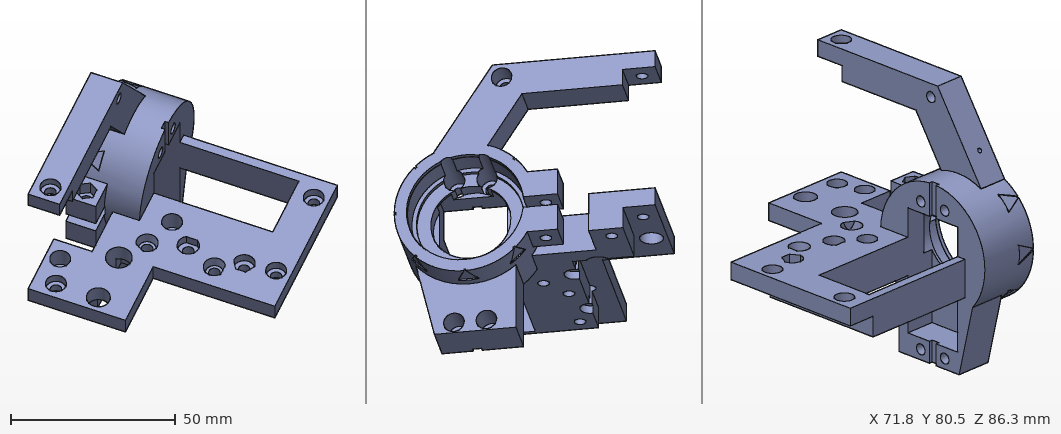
import cadquery as cq
import math


OVERALL_HEIGHT = 86.3
OVERALL_DEPTH = 80.5

RING_RADIUS = 21.8
RING_LENGTH = 21.4
SEAT_RADIUS = 17.95
SEAT_DEPTH = 8.6
LIP_DEPTH = 1.4
LIP_RELIEF = 0.1
STEP_RADIUS = 16.6
STEP_DEPTH = 9.8
BORE_RADIUS = 12.3
BORE_DEPTH = 14.3

LUG_END_Y = -28.6
LUG_HALF_HEIGHT = 10.35
SLIT_WIDTH = 3.6
SLIT_DEPTH = 10.0
SLIT_INNER_Y = -16.4
LUG_SCREW_X = STEP_DEPTH / 2
LUG_SCREW_Y = -24.1
NUT_ACROSS_CORNERS = 6.4
NUT_POCKET_DEPTH = 4.75
NUT_ANGLE = 30

SERVO_FRONT_X = 10.8
SERVO_WIDTH = 20.9
SERVO_TOP_Z = 10.7
SERVO_SCREW_TOP_Z = 14.5
SERVO_SCREW_PITCH_Z = 49.1
SERVO_SCREW_PITCH_Y = 10.0
SERVO_SCREW_FLOOR_X = 17.3
SERVO_CENTER_Z = SERVO_SCREW_TOP_Z - SERVO_SCREW_PITCH_Z / 2
SERVO_HEIGHT = 2 * (SERVO_TOP_Z - SERVO_CENTER_Z)
KEY_WIDTH = 2.8
KEY_DEPTH = 1.2

FOOT_FRONT_X = 8.6
FOOT_BOTTOM_Z = -38.15
FOOT_NEAR_Y = -14.15
FOOT_FAR_Y = 11.05
FOOT_SHOULDER = (16.7, -13.9)

ARM_THICKNESS = 10.35
ARM_TOP_Z = FOOT_BOTTOM_Z + OVERALL_HEIGHT
ARM_UNDERSIDE_Z = 37.4
ARM_TIP_UNDERSIDE_Z = 42.6
ARM_END_Y = RING_RADIUS - OVERALL_DEPTH
ARM_TIP_Y = -48.6
ARM_OUTER_KNEE_Y = -8.5
ARM_INNER_KNEE_Y = -17.6
ARM_OUTER_ROOT = (9.75, 19.6)
ARM_INNER_ROOT = (-7.1, 20.7)
ARM_SIDE_SCREW = (-11.3, 43.7)
ARM_SIDE_SCREW_FLOOR_X = 6.9
ARM_TIP_SCREW = (5.3, -53.7)
ARM_TIP_HEAD_DEPTH = 2.6
PIN_DIAMETER = 1.5
PIN_X = 4.8
PIN_Y = 3.9
PIN_DEPTH = 3.45

PLATE_TOP_Z = 0.95
PLATE_BOTTOM_Z = -4.9
BLOCK_BOTTOM_Z = -11.8
PLATE_END_X = 71.8
PLATE_FAR_Y = 13.5
PLATE_STEP_X = 31.9
PLATE_STEP_Y = -36.5
RELIEF_X = 12.6
RELIEF_END_Y = -38.15
BLOCK_END_X = 61.8
BLOCK_FACE_Y = -29.8
BLOCK_STEP_X = 18.6
BLOCK_END_Y = -48.8
WINDOW_END_X = 60.4

SCREW_DIAMETER = 3.5
HEAD_DIAMETER = 6.3
HEAD_DEPTH = 3.0
DEEP_HEAD_DEPTH = 6.9
UNDERSIDE_HEAD_DEPTH = 2.6
PLATE_SCREWS = [(67.0, 6.4), (67.0, -23.7), (7.1, -53.7)]
DEEP_PLATE_SCREWS = [(30.7, -18.55), (4.7, -44.45)]
UNDERSIDE_SCREWS = [(26.75, -28.8), (49.1, -29.5)]
LARGE_HOLES = [((21.0, -37.3), 8.0), ((21.0, -53.7), 7.25)]

FLAT_POCKET_RADIUS = 3.4
FLAT_POCKET_OFFSET = 2.85
TAPERED_FLOOR_RADIUS = 2.8
FLAT_POCKETS = [
    ((38.7, -24.9), FLAT_POCKET_RADIUS, [90]),
    ((57.0, -24.9), FLAT_POCKET_RADIUS, [210, 270, 330]),
    (UNDERSIDE_SCREWS[0], TAPERED_FLOOR_RADIUS, [240]),
    (UNDERSIDE_SCREWS[1], TAPERED_FLOOR_RADIUS, [0]),
]

MARK_LENGTH = 6.2
MARK_OVERRUN = 0.5
MARK_HALF_WIDTH = 3.2
MARK_DEPTH = 0.5
MARK_ANGLES = [45, 135, 180, 225, 270, 315]


def span_box(x, y, z):
    """Box given by its (low, high) limits along each axis."""
    size = [high - low for low, high in (x, y, z)]
    return cq.Workplane("XY").box(*size, centered=False).translate((x[0], y[0], z[0]))


def cylinder_x(radius, start, end, y=0.0, z=0.0):
    return cq.Workplane("YZ", origin=(start, y, z)).circle(radius).extrude(end - start)


def cylinder_z(radius, bottom, top, center):
    return cq.Workplane("XY", origin=(*center, bottom)).circle(radius).extrude(top - bottom)


def profile_x(points, start, end):
    """Prism along X from a (Y, Z) outline."""
    return cq.Workplane("YZ", origin=(start, 0, 0)).polyline(points).close().extrude(end - start)


def profile_z(points, bottom, top):
    """Prism along Z from an (X, Y) outline."""
    return cq.Workplane("XY", origin=(0, 0, bottom)).polyline(points).close().extrude(top - bottom)


def make_arm():
    outline = [
        ARM_OUTER_ROOT,
        (ARM_OUTER_KNEE_Y, ARM_TOP_Z),
        (ARM_END_Y, ARM_TOP_Z),
        (ARM_END_Y, ARM_TIP_UNDERSIDE_Z),
        (ARM_TIP_Y, ARM_TIP_UNDERSIDE_Z),
        (ARM_TIP_Y, ARM_UNDERSIDE_Z),
        (ARM_INNER_KNEE_Y, ARM_UNDERSIDE_Z),
        ARM_INNER_ROOT,
    ]
    return profile_x(outline, 0, ARM_THICKNESS)


def make_foot():
    outline = [
        FOOT_SHOULDER,
        (FOOT_FAR_Y, FOOT_BOTTOM_Z),
        (FOOT_NEAR_Y, FOOT_BOTTOM_Z),
        (FOOT_NEAR_Y, FOOT_SHOULDER[1]),
    ]
    return profile_x(outline, FOOT_FRONT_X, RING_LENGTH)


def make_plate():
    plate = profile_z(
        [
            (RELIEF_X, PLATE_FAR_Y),
            (PLATE_END_X, PLATE_FAR_Y),
            (PLATE_END_X, PLATE_STEP_Y),
            (PLATE_STEP_X, PLATE_STEP_Y),
            (PLATE_STEP_X, ARM_END_Y),
            (0, ARM_END_Y),
            (0, RELIEF_END_Y),
            (RELIEF_X, RELIEF_END_Y),
        ],
        PLATE_BOTTOM_Z,
        PLATE_TOP_Z,
    )
    block = profile_z(
        [
            (RELIEF_X, PLATE_FAR_Y),
            (BLOCK_END_X, PLATE_FAR_Y),
            (BLOCK_END_X, BLOCK_FACE_Y),
            (BLOCK_STEP_X, BLOCK_FACE_Y),
            (BLOCK_STEP_X, BLOCK_END_Y),
            (0, BLOCK_END_Y),
            (0, RELIEF_END_Y),
            (RELIEF_X, RELIEF_END_Y),
        ],
        BLOCK_BOTTOM_Z,
        PLATE_BOTTOM_Z,
    )
    return plate.union(block)


def cut_ring_interior(body):
    """Stepped bore, servo opening, plate window and rear key slot."""
    half_width = SERVO_WIDTH / 2
    servo_z = (SERVO_TOP_Z - SERVO_HEIGHT, SERVO_TOP_Z)
    servo = span_box((SERVO_FRONT_X, RING_LENGTH), (-half_width, half_width), servo_z)
    window_z = (BLOCK_BOTTOM_Z, PLATE_TOP_Z)
    window = span_box((RING_LENGTH, WINDOW_END_X), (-half_width, half_width), window_z)
    key_x = (RING_LENGTH - KEY_DEPTH, RING_LENGTH)
    key = span_box(key_x, (-KEY_WIDTH / 2, KEY_WIDTH / 2), (FOOT_BOTTOM_Z, RING_RADIUS))
    return (
        body.cut(cylinder_x(SEAT_RADIUS, 0, SEAT_DEPTH))
        .cut(cylinder_x(SEAT_RADIUS + LIP_RELIEF, 0, LIP_DEPTH))
        .cut(cylinder_x(STEP_RADIUS, 0, STEP_DEPTH))
        .cut(cylinder_x(BORE_RADIUS, 0, BORE_DEPTH))
        .cut(servo)
        .cut(window)
        .cut(key)
    )


def cut_clamp(body):
    """Slit between the lugs, with the clamp screw hole and its nut pocket."""
    slit = span_box((0, SLIT_DEPTH), (LUG_END_Y, SLIT_INNER_Y), (-SLIT_WIDTH / 2, SLIT_WIDTH / 2))
    center = (LUG_SCREW_X, LUG_SCREW_Y)
    screw = cylinder_z(SCREW_DIAMETER / 2, -LUG_HALF_HEIGHT, LUG_HALF_HEIGHT, center)
    nut = (
        cq.Workplane("XY", origin=(*center, LUG_HALF_HEIGHT))
        .polygon(6, NUT_ACROSS_CORNERS)
        .extrude(-NUT_POCKET_DEPTH)
        .rotate((*center, 0), (*center, 1), NUT_ANGLE)
    )
    return body.cut(slit).cut(screw).cut(nut)


def cut_screw_x(body, y, z, floor, end):
    """Counterbored hole along X, with its head recess open toward the front."""
    head = cylinder_x(HEAD_DIAMETER / 2, 0, floor, y, z)
    return body.cut(head).cut(cylinder_x(SCREW_DIAMETER / 2, 0, end, y, z))


def cut_servo_screws(body):
    for side in (-1, 1):
        for row in (0, 1):
            y = side * SERVO_SCREW_PITCH_Y / 2
            z = SERVO_SCREW_TOP_Z - row * SERVO_SCREW_PITCH_Z
            body = cut_screw_x(body, y, z, SERVO_SCREW_FLOOR_X, RING_LENGTH)
    return body


def cut_arm_holes(body):
    body = cut_screw_x(body, *ARM_SIDE_SCREW, ARM_SIDE_SCREW_FLOOR_X, ARM_THICKNESS)
    screw = cylinder_z(SCREW_DIAMETER / 2, ARM_UNDERSIDE_Z, ARM_TOP_Z, ARM_TIP_SCREW)
    head = cylinder_z(HEAD_DIAMETER / 2, ARM_TOP_Z - ARM_TIP_HEAD_DEPTH, ARM_TOP_Z, ARM_TIP_SCREW)
    slope = (ARM_TOP_Z - ARM_OUTER_ROOT[1]) / (ARM_OUTER_KNEE_Y - ARM_OUTER_ROOT[0])
    pin_z = ARM_OUTER_ROOT[1] + slope * (PIN_Y - ARM_OUTER_ROOT[0])
    pin_face = cq.Plane(origin=(PIN_X, PIN_Y, pin_z), xDir=(1, 0, 0), normal=(0, -slope, 1))
    pin = cq.Workplane(pin_face).circle(PIN_DIAMETER / 2).extrude(-PIN_DEPTH)
    return body.cut(screw).cut(head).cut(pin)


def flat_sided_pocket(center, floor_radius, flat_angles):
    """Straight or tapered round pocket in the plate's top, trimmed by a flat in each direction."""
    side_taper = math.degrees(math.atan((FLAT_POCKET_RADIUS - floor_radius) / HEAD_DEPTH))
    top = cq.Workplane("XY", origin=(0, 0, PLATE_TOP_Z)).circle(FLAT_POCKET_RADIUS)
    pocket = top.extrude(-HEAD_DEPTH, taper=side_taper)
    far = 2 * FLAT_POCKET_RADIUS
    for angle in flat_angles:
        trim = span_box((FLAT_POCKET_OFFSET, far), (-far, far), (PLATE_BOTTOM_Z, PLATE_TOP_Z))
        pocket = pocket.cut(trim.rotate((0, 0, 0), (0, 0, 1), angle))
    return pocket.translate((*center, 0))


def cut_plate_holes(body):
    pocket_centers = [center for center, _, _ in FLAT_POCKETS]
    for center in PLATE_SCREWS + DEEP_PLATE_SCREWS + pocket_centers:
        body = body.cut(cylinder_z(SCREW_DIAMETER / 2, BLOCK_BOTTOM_Z, PLATE_TOP_Z, center))
    for centers, depth in ((PLATE_SCREWS, HEAD_DEPTH), (DEEP_PLATE_SCREWS, DEEP_HEAD_DEPTH)):
        for center in centers:
            body = body.cut(cylinder_z(HEAD_DIAMETER / 2, PLATE_TOP_Z - depth, PLATE_TOP_Z, center))
    underside_floor = BLOCK_BOTTOM_Z + UNDERSIDE_HEAD_DEPTH
    for center in UNDERSIDE_SCREWS:
        body = body.cut(cylinder_z(HEAD_DIAMETER / 2, BLOCK_BOTTOM_Z, underside_floor, center))
    for center, floor_radius, flat_angles in FLAT_POCKETS:
        body = body.cut(flat_sided_pocket(center, floor_radius, flat_angles))
    for center, diameter in LARGE_HOLES:
        body = body.cut(cylinder_z(diameter / 2, BLOCK_BOTTOM_Z, PLATE_TOP_Z, center))
    return body


def cut_index_marks(body):
    """Triangles pointing at the front face, sunk into the ring's outer surface."""
    triangle = [(-MARK_OVERRUN, 0), (MARK_LENGTH, MARK_HALF_WIDTH), (MARK_LENGTH, -MARK_HALF_WIDTH)]
    mark = profile_z(triangle, RING_RADIUS - MARK_DEPTH, RING_RADIUS)
    for angle in MARK_ANGLES:
        body = body.cut(mark.rotate((0, 0, 0), (1, 0, 0), 90 - angle))
    return body


ring = cylinder_x(RING_RADIUS, 0, RING_LENGTH)
lugs = span_box((0, STEP_DEPTH), (LUG_END_Y, 0), (-LUG_HALF_HEIGHT, LUG_HALF_HEIGHT))
body = ring.union(lugs).union(make_arm()).union(make_foot()).union(make_plate())
body = cut_index_marks(body)
body = cut_ring_interior(body)
body = cut_clamp(body)
body = cut_servo_screws(body)
body = cut_arm_holes(body)
result = cut_plate_holes(body)